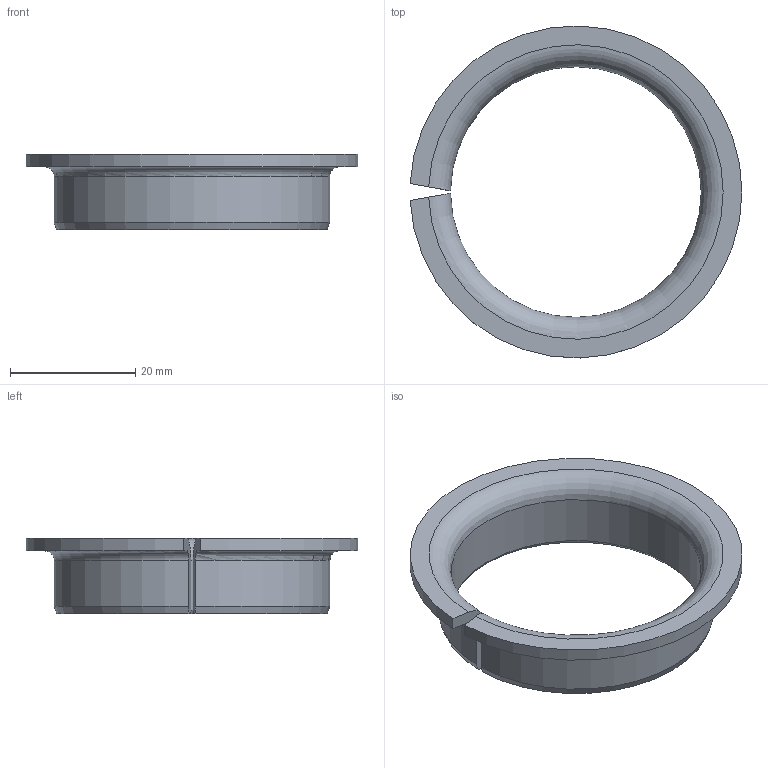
import cadquery as cq
import math

height = 12.0
bore_radius = 20.0
wall = 2.0
flange_radius = 26.5
inner_bend_radius = 3.5
lead_in_height = 1.15
lead_in_angle = 20.0
bore_chamfer_height = 0.5
bore_chamfer_depth = 0.3
gap_at_bore = 0.4
gap_angle = 20.0

sleeve_radius = bore_radius + wall
outer_bend_radius = inner_bend_radius - wall
bend_center_radius = bore_radius + inner_bend_radius
bend_center_z = height - inner_bend_radius
flange_bottom_z = height - wall
lead_in_depth = lead_in_height * math.tan(math.radians(lead_in_angle))


def point_on_bend(radius):
    """Middle of the quarter bend of the given radius, as (r, z)."""
    offset = radius * math.cos(math.radians(45))
    return (bend_center_radius - offset, bend_center_z + offset)


def make_flanged_sleeve():
    """Revolve the sleeve, bend and flange section around Z, with the seam on the -X side."""
    section = (
        cq.Workplane("XZ")
        .moveTo(bore_radius, bore_chamfer_height)
        .lineTo(bore_radius + bore_chamfer_depth, 0)
        .lineTo(sleeve_radius - lead_in_depth, 0)
        .lineTo(sleeve_radius, lead_in_height)
        .lineTo(sleeve_radius, bend_center_z)
        .threePointArc(point_on_bend(outer_bend_radius), (bend_center_radius, flange_bottom_z))
        .lineTo(flange_radius, flange_bottom_z)
        .lineTo(flange_radius, height)
        .lineTo(bend_center_radius, height)
        .threePointArc(point_on_bend(inner_bend_radius), (bore_radius, bend_center_z))
        .close()
    )
    ring = section.revolve(360, (0, 0, 0), (0, 1, 0))
    return ring.rotate((0, 0, 0), (0, 0, 1), 180)


def make_split_wedge():
    """Full-height wedge on the -X side that widens outwards from the bore."""
    slope = math.tan(math.radians(gap_angle / 2))
    apex_x = -bore_radius + gap_at_bore / 2 / slope
    end_x = -(flange_radius + wall)
    end_half_width = (apex_x - end_x) * slope
    return (
        cq.Workplane("XY")
        .moveTo(apex_x, 0)
        .lineTo(end_x, end_half_width)
        .lineTo(end_x, -end_half_width)
        .close()
        .extrude(height)
    )


result = make_flanged_sleeve().cut(make_split_wedge())